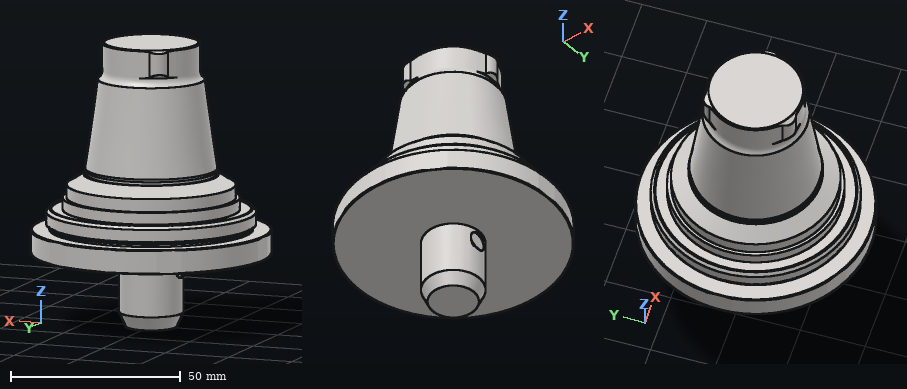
import cadquery as cq
import math

TOTAL_HEIGHT = 85.0
STEM_TAPER_HEIGHT = 4.3
FLANGE_BOTTOM = 21.85
FLANGE_TOP = 29.1
RING_FOOT_TOP = 29.75
RING_BOTTOM = 30.7
RING_TOP = 35.4
STEP_TOP = 38.6
HUB_EDGE = 42.5
HUB_TOP = 45.6
CONE_BOTTOM = 47.35
CONE_TOP = 74.4
HEAD_BOTTOM = 76.7

STEM_RADIUS = 19.0 / 2
STEM_TIP_RADIUS = 7.6
RING_RADIUS = 62.0 / 2
RING_FOOT_RADIUS = 60.1 / 2
RING_GROOVE_RADIUS = 29.8
RING_RECESS_RADIUS = 29.6
STEP_RADIUS = 52.4 / 2
HUB_RADIUS = 50.0 / 2
HUB_TOP_RADIUS = 19.9
CONE_BOTTOM_RADIUS = 19.55
CONE_TOP_RADIUS = 15.8
CONE_RELIEF_RADIUS = 19.2
HEAD_RADIUS = 14.45

RING_TOP_CHAMFER = 1.0
RING_CHAMFER_DROP = 0.5
RING_RECESS_DEPTH = 0.25
CONE_BOTTOM_DROP = 0.85
CONE_TOP_CHAMFER = 0.3
FLANGE_CHAMFER = 0.25

MAIN_FLAT_SPAN = 70.6
MAIN_FLAT_WIDTH = 7.5
SIDE_FLAT_SPAN = 70.8
FLANGE_RADIUS = math.hypot(MAIN_FLAT_SPAN / 2, MAIN_FLAT_WIDTH / 2)
MAIN_FLAT_ANGLES = range(0, 360, 60)
SIDE_FLAT_ANGLES = (90, 270)

LUG_COUNT = 3
LUG_TIP_RADIUS = 15.7
LUG_SHOULDER = (14.5, 2.7)
LUG_FOOT_ANGLE = math.radians(22)
HEAD_TOP_RADIUS = 13.9
LUG_TOP_DROP = 0.8
LUG_UNDERSIDE_RISE = LUG_TIP_RADIUS - HEAD_RADIUS

SPOT_DIAMETER = 6.0
SPOT_HEIGHT = 18.0
SPOT_PLANE = math.sqrt(STEM_RADIUS**2 - (SPOT_DIAMETER / 2) ** 2)


def revolve_profile(profile):
    return profile.close().revolve(360, (0, 0, 0), (0, 1, 0))


def make_body():
    """Stem, ring, hub, cone and neck as one turned profile."""
    cone_shoulder = CONE_TOP_RADIUS - CONE_TOP_CHAMFER
    neck_width = cone_shoulder - HEAD_RADIUS
    neck_height = HEAD_BOTTOM - CONE_TOP
    neck_arc_radius = (neck_width**2 + neck_height**2) / (2 * neck_width)
    half_angle = math.asin(neck_height / neck_arc_radius) / 2
    neck_middle = (
        HEAD_RADIUS + neck_arc_radius * (1 - math.cos(half_angle)),
        HEAD_BOTTOM - neck_arc_radius * math.sin(half_angle),
    )
    profile = (
        cq.Workplane("XZ")
        .moveTo(0, 0)
        .lineTo(STEM_TIP_RADIUS, 0)
        .lineTo(STEM_RADIUS, STEM_TAPER_HEIGHT)
        .lineTo(STEM_RADIUS, FLANGE_TOP)
        .lineTo(RING_FOOT_RADIUS, FLANGE_TOP)
        .lineTo(RING_FOOT_RADIUS, RING_FOOT_TOP)
        .lineTo(RING_GROOVE_RADIUS, RING_FOOT_TOP)
        .lineTo(RING_GROOVE_RADIUS, RING_BOTTOM - RING_CHAMFER_DROP)
        .lineTo(RING_RADIUS, RING_BOTTOM)
        .lineTo(RING_RADIUS, RING_TOP - RING_TOP_CHAMFER)
        .lineTo(RING_RADIUS - RING_TOP_CHAMFER, RING_TOP)
        .lineTo(RING_RECESS_RADIUS, RING_TOP)
        .lineTo(RING_RECESS_RADIUS, RING_TOP - RING_RECESS_DEPTH)
        .lineTo(STEP_RADIUS, RING_TOP - RING_RECESS_DEPTH)
        .lineTo(STEP_RADIUS, STEP_TOP)
        .lineTo(HUB_RADIUS, STEP_TOP)
        .lineTo(HUB_RADIUS, HUB_EDGE)
        .lineTo(HUB_TOP_RADIUS, HUB_TOP)
        .lineTo(CONE_RELIEF_RADIUS, HUB_TOP)
        .lineTo(CONE_RELIEF_RADIUS, CONE_BOTTOM - CONE_BOTTOM_DROP)
        .lineTo(CONE_BOTTOM_RADIUS, CONE_BOTTOM)
        .lineTo(CONE_TOP_RADIUS, CONE_TOP - CONE_TOP_CHAMFER)
        .lineTo(cone_shoulder, CONE_TOP)
        .threePointArc(neck_middle, (HEAD_RADIUS, HEAD_BOTTOM))
        .lineTo(0, HEAD_BOTTOM)
    )
    return revolve_profile(profile)


def make_flange():
    """Round flange with chamfered rims and flats cut into its edge."""
    height = FLANGE_TOP - FLANGE_BOTTOM
    flange = (
        cq.Workplane("XY", origin=(0, 0, FLANGE_BOTTOM))
        .circle(FLANGE_RADIUS)
        .extrude(height)
        .edges()
        .chamfer(FLANGE_CHAMFER)
    )
    for span, angles in ((MAIN_FLAT_SPAN, MAIN_FLAT_ANGLES), (SIDE_FLAT_SPAN, SIDE_FLAT_ANGLES)):
        cutter = cq.Workplane("XY", origin=(span / 2, 0, FLANGE_BOTTOM)).box(
            FLANGE_RADIUS, FLANGE_RADIUS, height, centered=(False, True, False)
        )
        for angle in angles:
            flange = flange.cut(cutter.rotate((0, 0, 0), (0, 0, 1), angle))
    return flange


def make_lugs():
    """Rounded lugs blending into the head, evenly spaced from +X."""
    shoulder_x, shoulder_y = LUG_SHOULDER
    foot_x = HEAD_RADIUS * math.cos(LUG_FOOT_ANGLE)
    foot_y = HEAD_RADIUS * math.sin(LUG_FOOT_ANGLE)
    lug = (
        cq.Workplane("XY", origin=(0, 0, HEAD_BOTTOM))
        .moveTo(0, 0)
        .lineTo(foot_x, -foot_y)
        .lineTo(shoulder_x, -shoulder_y)
        .threePointArc((LUG_TIP_RADIUS, 0), (shoulder_x, shoulder_y))
        .lineTo(foot_x, foot_y)
        .close()
        .extrude(TOTAL_HEIGHT - HEAD_BOTTOM)
    )
    lugs = lug
    for index in range(1, LUG_COUNT):
        lugs = lugs.union(lug.rotate((0, 0, 0), (0, 0, 1), index * 360 / LUG_COUNT))
    return lugs


def make_head_envelope():
    """Turned limit of the head: conical lug undersides and a chamfered top."""
    profile = (
        cq.Workplane("XZ")
        .moveTo(0, HEAD_BOTTOM)
        .lineTo(HEAD_RADIUS, HEAD_BOTTOM)
        .lineTo(LUG_TIP_RADIUS, HEAD_BOTTOM + LUG_UNDERSIDE_RISE)
        .lineTo(LUG_TIP_RADIUS, TOTAL_HEIGHT - LUG_TOP_DROP)
        .lineTo(HEAD_TOP_RADIUS, TOTAL_HEIGHT)
        .lineTo(0, TOTAL_HEIGHT)
    )
    return revolve_profile(profile)


def make_stem_spot(side):
    """Cutter for a round flat spot on the +X (1) or -X (-1) side of the stem."""
    return (
        cq.Workplane("YZ", origin=(side * SPOT_PLANE, 0, SPOT_HEIGHT))
        .circle(SPOT_DIAMETER / 2)
        .extrude(side * STEM_RADIUS)
    )


def make_head():
    """Round head with its lugs, trimmed to the turned envelope."""
    core = (
        cq.Workplane("XY", origin=(0, 0, HEAD_BOTTOM))
        .circle(HEAD_RADIUS)
        .extrude(TOTAL_HEIGHT - HEAD_BOTTOM)
    )
    return core.union(make_lugs()).intersect(make_head_envelope())


result = make_body().union(make_flange()).union(make_head())
for side in (-1, 1):
    result = result.cut(make_stem_spot(side))